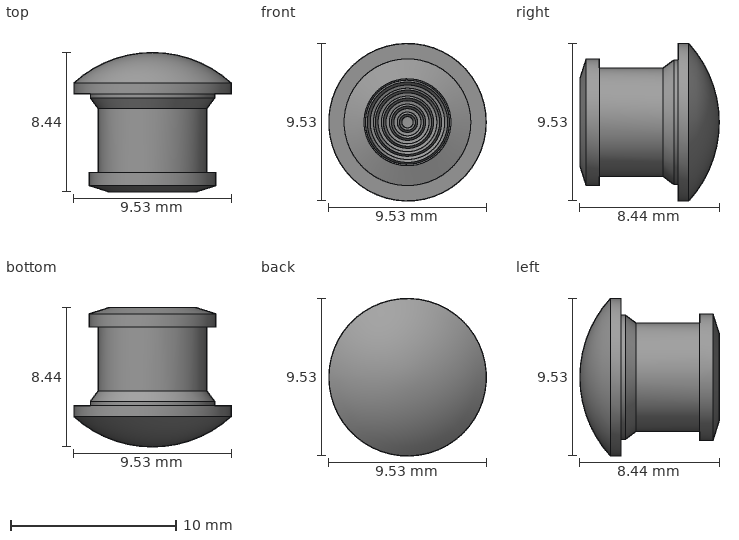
import cadquery as cq
import math

head_radius = 4.765
neck_radius = 3.76
barrel_radius = 3.29
foot_radius = 3.83
bore_radius = 2.63

foot_taper = 0.38
foot_band = 0.81
barrel_length = 3.85
neck_taper = 0.64
neck_band = 0.26
head_band = 0.65
dome_rise = 1.85

dome_wall = barrel_radius - bore_radius
ridge_count = 5
ridge_pitch = 0.49
ridge_height = 0.24
flank_slope = math.tan(math.radians(60))

total_length = (
    foot_taper + foot_band + barrel_length + neck_taper + neck_band + head_band + dome_rise
)
foot_start = -total_length / 2
foot_band_start = foot_start + foot_taper
barrel_start = foot_band_start + foot_band
neck_taper_start = barrel_start + barrel_length
neck_start = neck_taper_start + neck_taper
head_start = neck_start + neck_band
dome_start = head_start + head_band
dome_top = dome_start + dome_rise

outer_sphere_radius = (head_radius**2 + dome_rise**2) / (2 * dome_rise)
inner_sphere_radius = outer_sphere_radius - dome_wall
sphere_center = dome_top - outer_sphere_radius


def sphere_y(sphere_radius, radius):
    """Y of a dome sphere at a given distance from the axis."""
    return sphere_center + math.sqrt(sphere_radius**2 - radius**2)


def ridge_foot_offset(crest_radius, crest_y, side):
    """Radial distance from a ridge crest to where its flank meets the inner sphere.

    side is -1 for the flank nearer the axis and +1 for the outer flank.
    """
    crest_rise = crest_y - sphere_center
    a = 1 + flank_slope**2
    b = side * crest_radius + flank_slope * crest_rise
    c = crest_radius**2 + crest_rise**2 - inner_sphere_radius**2
    return (math.sqrt(b**2 - a * c) - b) / a


def arc_to(profile, start_radius, end_radius, sphere_radius):
    """Extend the profile along a dome sphere."""
    middle_radius = (start_radius + end_radius) / 2
    return profile.threePointArc(
        (middle_radius, sphere_y(sphere_radius, middle_radius)),
        (end_radius, sphere_y(sphere_radius, end_radius)),
    )


def add_outside(profile):
    """Foot, barrel, neck, head rim and dome, from the open end to the dome top."""
    profile = (
        profile.moveTo(bore_radius, foot_start)
        .lineTo(foot_radius, foot_band_start)
        .lineTo(foot_radius, barrel_start)
        .lineTo(barrel_radius, barrel_start)
        .lineTo(barrel_radius, neck_taper_start)
        .lineTo(neck_radius, neck_start)
        .lineTo(neck_radius, head_start)
        .lineTo(head_radius, head_start)
        .lineTo(head_radius, dome_start)
    )
    return arc_to(profile, head_radius, 0, outer_sphere_radius)


def add_ridged_inside(profile):
    """Inner face of the head, from the axis out to the bore."""
    profile = profile.lineTo(0, sphere_y(inner_sphere_radius, 0))
    valley_start = 0
    for ridge_number in range(1, ridge_count + 1):
        crest_radius = ridge_pitch * ridge_number
        crest_y = sphere_y(inner_sphere_radius, crest_radius) - ridge_height
        inner_foot = crest_radius - ridge_foot_offset(crest_radius, crest_y, -1)
        outer_foot = crest_radius + ridge_foot_offset(crest_radius, crest_y, 1)
        profile = arc_to(profile, valley_start, inner_foot, inner_sphere_radius)
        profile = profile.lineTo(crest_radius, crest_y)
        profile = profile.lineTo(outer_foot, sphere_y(inner_sphere_radius, outer_foot))
        valley_start = outer_foot
    return arc_to(profile, valley_start, bore_radius, inner_sphere_radius)


section = add_ridged_inside(add_outside(cq.Workplane("XY")))
result = section.close().revolve(360, (0, 0, 0), (0, 1, 0))